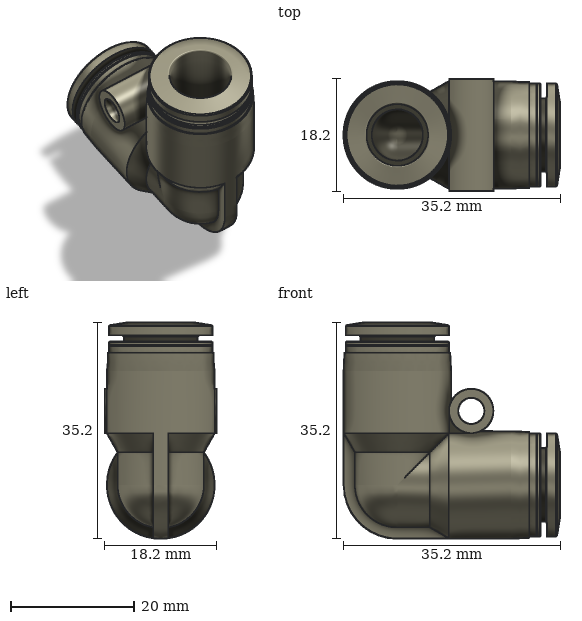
import cadquery as cq
import math


neck_r = 7.0
body_r = 17.5 / 2
body_tip_r = 8.6
collar_r = 16.8 / 2
button_neck_r = 12.0 / 2
tube_r = 10.0 / 2
mouth_round = 0.3
mouth_r = tube_r + mouth_round
bore_r = 8.3 / 2

neck_end = 5.3
body_start = 8.37
taper_start = 18.45
body_end = 21.4
joint = 22.6
collar_end = 23.3
button_start = 24.25
button_rim = 25.93
arm_length = 26.4
tube_stop = body_start

edge_chamfer = 0.2
joint_chamfer = 0.1

rib_thickness = 2.4
web_thickness = 5.0

eye_center = 12.0
eye_r = 7.2 / 2
eye_hole_r = 4.2 / 2
eye_length = 18.2


def revolve_arm(outline):
    """Revolve (radius, station) points about the Z axis."""
    return cq.Workplane("XZ").polyline(outline).close().revolve(360, (0, 0), (0, 1))


def both_arms(arm):
    """Join a Z arm with its mirror image across x = z, which lies along X."""
    return arm.union(arm.rotate((0, 0, 0), (0, 1, 0), 90))


def arm_solid():
    return revolve_arm([
        (0, 0),
        (neck_r, 0),
        (neck_r, neck_end),
        (body_r, body_start),
        (body_r, taper_start),
        (body_tip_r, body_end),
        (collar_r, body_end),
        (collar_r, joint - joint_chamfer),
        (collar_r - joint_chamfer, joint),
        (collar_r, joint + joint_chamfer),
        (collar_r, collar_end - edge_chamfer),
        (collar_r - edge_chamfer, collar_end),
        (button_neck_r, collar_end),
        (button_neck_r, button_start - edge_chamfer),
        (button_neck_r + edge_chamfer, button_start),
        (collar_r, button_start),
        (collar_r, button_rim - edge_chamfer),
        (collar_r - edge_chamfer, button_rim),
        (mouth_r, arm_length),
        (0, arm_length),
    ])


def arm_passage():
    """Flow bore and stepped tube socket, with a rounded mouth tangent to the socket wall."""
    mouth_start = arm_length - mouth_round
    arc_offset = mouth_round * math.sqrt(0.5)
    return (
        cq.Workplane("XZ")
        .lineTo(bore_r, 0)
        .lineTo(bore_r, tube_stop)
        .lineTo(tube_r, tube_stop)
        .lineTo(tube_r, mouth_start)
        .threePointArc((mouth_r - arc_offset, mouth_start + arc_offset), (mouth_r, arm_length))
        .lineTo(0, arm_length)
        .close()
        .revolve(360, (0, 0), (0, 1))
    )


def rounded_bend(radius, length):
    """Two crossed cylinders of one radius, closed by a ball at the elbow centre."""
    cylinders = both_arms(cq.Workplane("XY").circle(radius).extrude(length))
    return cylinders.union(cq.Workplane("XY").sphere(radius))


def rib():
    """Middle slice of a bend as wide as the socket bodies, so it runs flush into both."""
    reach = 2 * body_r
    slab = cq.Workplane("XY").box(2 * reach, rib_thickness, 2 * reach)
    return rounded_bend(body_r, body_start).intersect(slab)


def corner_web():
    """Square plate joining the mounting eye to the inner corner of the arms."""
    side = eye_center - neck_end
    middle = (eye_center + neck_end) / 2
    return cq.Workplane("XY").box(side, web_thickness, side).translate((middle, 0, middle))


def eye_cylinder(radius):
    return (
        cq.Workplane("XZ", origin=(0, eye_length / 2, 0))
        .center(eye_center, eye_center)
        .circle(radius)
        .extrude(eye_length)
    )


outside = (
    both_arms(arm_solid())
    .union(cq.Workplane("XY").sphere(neck_r))
    .union(rib())
    .union(corner_web())
    .union(eye_cylinder(eye_r))
)
passage = both_arms(arm_passage()).union(cq.Workplane("XY").sphere(bore_r))

result = outside.cut(passage).cut(eye_cylinder(eye_hole_r))